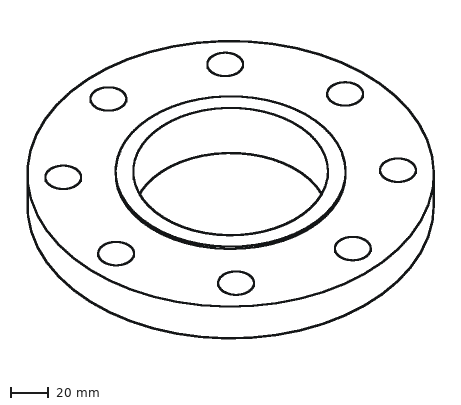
import cadquery as cq

flange_diameter = 215.9
flange_thickness = 22.35

hub_diameter = 122.2
hub_height = 7.8
raised_face_diameter = hub_diameter
raised_face_height = 1.6
total_height = hub_height + flange_thickness + raised_face_height

bore_diameter = 103.4
bolt_hole_count = 8
bolt_hole_diameter = 19.05
bolt_circle_diameter = 177.8
first_bolt_angle = 180 / bolt_hole_count


def disc(diameter, bottom, height):
    """Solid cylinder on the Z axis, standing on the level z = bottom."""
    return cq.Workplane("XY").workplane(offset=bottom).circle(diameter / 2).extrude(height)


def bolt_holes():
    """Ring of cutters passing through the full height of the part."""
    return (
        cq.Workplane("XY")
        .polarArray(bolt_circle_diameter / 2, first_bolt_angle, 360, bolt_hole_count)
        .circle(bolt_hole_diameter / 2)
        .extrude(total_height)
    )


hub = disc(hub_diameter, 0, hub_height)
plate = disc(flange_diameter, hub_height, flange_thickness)
raised_face = disc(raised_face_diameter, hub_height + flange_thickness, raised_face_height)
bore = disc(bore_diameter, 0, total_height)

result = hub.union(plate).union(raised_face).cut(bore).cut(bolt_holes())